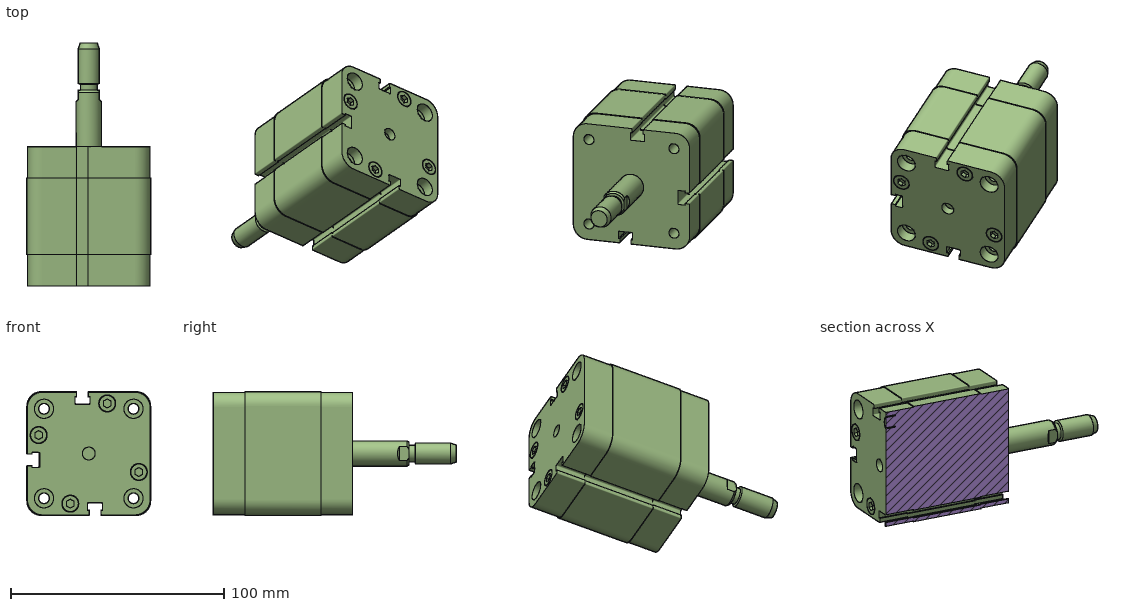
import cadquery as cq

total_length = 114.0
housing_length = 65.4
cap_length = 14.8
body_width = 58.1
cap_width = 57.5
corner_radius = 7.0

slot_offset = 3.0
slot_mouth_width = 5.4
slot_inner_width = 7.0
slot_lip = 2.2
slot_depth = 5.8
slot_rounding = 0.5

mount_offset = 21.0
mount_hole_diameter = 4.9
counterbore_diameter = 9.0
counterbore_depth = 5.7

screw_across = 8.7
screw_out = 23.5
screw_bore_diameter = 8.0
screw_head_diameter = 7.5
screw_bore_depth = 5.0
socket_width = 3.6
socket_depth = 2.3

centre_hole_diameter = 6.0
centre_hole_depth = 4.0

rod_diameter = 12.0
rod_chamfer = 0.7
rod_chamfer_length = 1.0
thread_diameter = 10.0
thread_tip_diameter = 8.1
thread_length = 19.5
thread_tip_length = 2.8
thread_end_taper = 0.5
neck_diameter = 8.0
neck_length = 2.6
flat_width = 10.0
flat_length = 4.6
flat_runout = 0.9


def rear_plane():
    """Plane of the rear face; negative extrusions run into the housing, toward +Y."""
    return cq.Workplane("XZ")


def t_slot(block_width, length):
    """T-slot cutter for the upper (+Z) side, with rounded mouth and floor corners."""
    top = block_width / 2
    floor = top - slot_depth
    step = top - slot_lip
    mouth_half = slot_mouth_width / 2
    inner_half = slot_inner_width / 2
    return (
        rear_plane()
        .moveTo(0, floor)
        .lineTo(inner_half - slot_rounding, floor)
        .radiusArc((inner_half, floor + slot_rounding), -slot_rounding)
        .lineTo(inner_half, step)
        .lineTo(mouth_half, step)
        .lineTo(mouth_half, top - slot_rounding)
        .radiusArc((mouth_half + slot_rounding, top), slot_rounding)
        .lineTo(0, top)
        .mirrorY()
        .extrude(-length)
        .translate((-slot_offset, 0, 0))
    )


def housing_section(width, start, length):
    """Rounded square block with T-slots on its top, left and bottom sides."""
    block = (
        cq.Workplane("XY")
        .box(width, length, width, centered=(True, False, True))
        .edges("|Y")
        .fillet(corner_radius)
    )
    slot = t_slot(width, length)
    for angle in (0, -90, 180):
        block = block.cut(slot.rotate((0, 0, 0), (0, 1, 0), angle))
    return block.translate((0, start, 0))


def mounting_holes():
    """Through holes in the four corners, counterbored from the rear face."""
    pitch = 2 * mount_offset
    corners = rear_plane().rect(pitch, pitch, forConstruction=True).vertices()
    through = corners.circle(mount_hole_diameter / 2).extrude(-housing_length)
    bores = corners.circle(counterbore_diameter / 2).extrude(-counterbore_depth)
    return through.union(bores)


def screw_recesses():
    """Narrow ring and hexagon socket of each cap screw in the rear face."""
    centres = [
        (screw_across, screw_out),
        (-screw_out, screw_across),
        (-screw_across, -screw_out),
        (screw_out, -screw_across),
    ]
    rings = (
        rear_plane()
        .pushPoints(centres)
        .circle(screw_bore_diameter / 2)
        .circle(screw_head_diameter / 2)
        .extrude(-screw_bore_depth)
    )
    sockets = (
        rear_plane()
        .pushPoints(centres)
        .polygon(6, socket_width, circumscribed=True)
        .extrude(-socket_depth)
    )
    return rings.union(sockets)


def piston_rod():
    """Turned rod with neck, thread diameter and two wrench flats."""
    thread_end = total_length - thread_length
    rod_end = thread_end - neck_length
    rod_radius = rod_diameter / 2
    neck_radius = neck_diameter / 2
    thread_radius = thread_diameter / 2
    rod_start = housing_length - cap_length
    rod = (
        cq.Workplane("XY")
        .moveTo(0, rod_start)
        .lineTo(rod_radius, rod_start)
        .lineTo(rod_radius, rod_end - rod_chamfer_length)
        .lineTo(rod_radius - rod_chamfer, rod_end)
        .lineTo(neck_radius, rod_end)
        .lineTo(neck_radius, thread_end)
        .lineTo(thread_radius, thread_end + thread_end_taper)
        .lineTo(thread_radius, total_length - thread_tip_length)
        .lineTo(thread_tip_diameter / 2, total_length)
        .lineTo(0, total_length)
        .close()
        .revolve(360, (0, 0, 0), (0, 1, 0))
    )
    flat_start = rod_end - flat_length
    flat = (
        cq.Workplane("XY")
        .moveTo(flat_width / 2, rod_end)
        .lineTo(flat_width / 2, flat_start)
        .lineTo(rod_radius, flat_start - flat_runout)
        .lineTo(rod_diameter, flat_start - flat_runout)
        .lineTo(rod_diameter, rod_end)
        .close()
        .extrude(rod_diameter, both=True)
    )
    return rod.cut(flat).cut(flat.mirror("YZ"))


body_length = housing_length - 2 * cap_length
housing = (
    housing_section(cap_width, 0, cap_length)
    .union(housing_section(body_width, cap_length, body_length))
    .union(housing_section(cap_width, cap_length + body_length, cap_length))
)
centre_hole = rear_plane().circle(centre_hole_diameter / 2).extrude(-centre_hole_depth)

result = (
    housing.cut(mounting_holes())
    .cut(screw_recesses())
    .cut(centre_hole)
    .union(piston_rod())
)